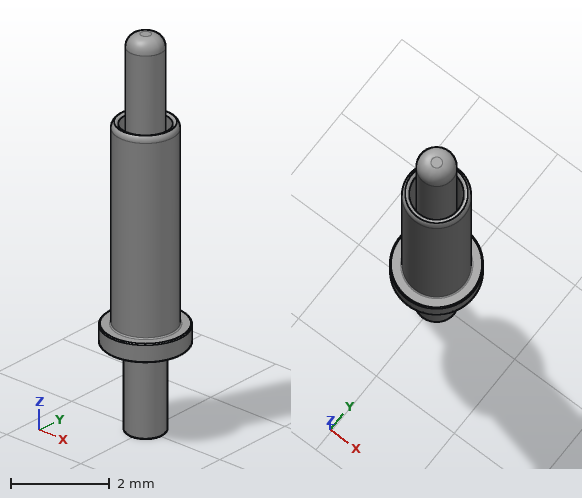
import cadquery as cq

total_height = 9.0
tail_length = 2.0
flange_thickness = 0.43
barrel_top = 7.0
flange_top = tail_length + flange_thickness

tail_diameter = 0.9
flange_diameter = 1.9
barrel_diameter = 1.41
bore_diameter = 1.11
plunger_diameter = 0.83
barrel_radius = barrel_diameter / 2
bore_radius = bore_diameter / 2

rim_crest_radius = 0.64
rim_round_height = 0.135
rim_lip_depth = 0.045

tail_chamfer = 0.04
flange_chamfer = 0.03
barrel_root_fillet = 0.03
plunger_tip_fillet = 0.3


def cylinder(diameter, bottom, top):
    """Upright cylinder on the Z axis between two heights."""
    return cq.Workplane("XY").workplane(offset=bottom).circle(diameter / 2).extrude(top - bottom)


def make_tail():
    return cylinder(tail_diameter, 0, tail_length).faces("<Z").edges().chamfer(tail_chamfer)


def make_flange():
    return cylinder(flange_diameter, tail_length, flange_top).edges().chamfer(flange_chamfer)


def make_barrel():
    """Tube open at the top, flared at its root where it meets the flange."""
    wall_top = barrel_top - rim_round_height
    rim_lip_width = rim_crest_radius - bore_radius
    rim_lip_radius = (rim_lip_width**2 + rim_lip_depth**2) / (2 * rim_lip_depth)
    profile = (
        cq.Workplane("XZ")
        .moveTo(bore_radius, flange_top)
        .lineTo(barrel_radius + barrel_root_fillet, flange_top)
        .radiusArc((barrel_radius, flange_top + barrel_root_fillet), barrel_root_fillet)
        .lineTo(barrel_radius, wall_top)
        .tangentArcPoint((rim_crest_radius, barrel_top), relative=False)
        .radiusArc((bore_radius, barrel_top - rim_lip_depth), -rim_lip_radius)
        .close()
    )
    return profile.revolve(360, (0, 0, 0), (0, 1, 0))


def make_plunger():
    """Pin standing on the bore floor, with a rounded tip that keeps a small flat."""
    plunger = cylinder(plunger_diameter, flange_top, total_height)
    return plunger.faces(">Z").edges().fillet(plunger_tip_fillet)


result = make_tail().union(make_flange()).union(make_barrel()).union(make_plunger())